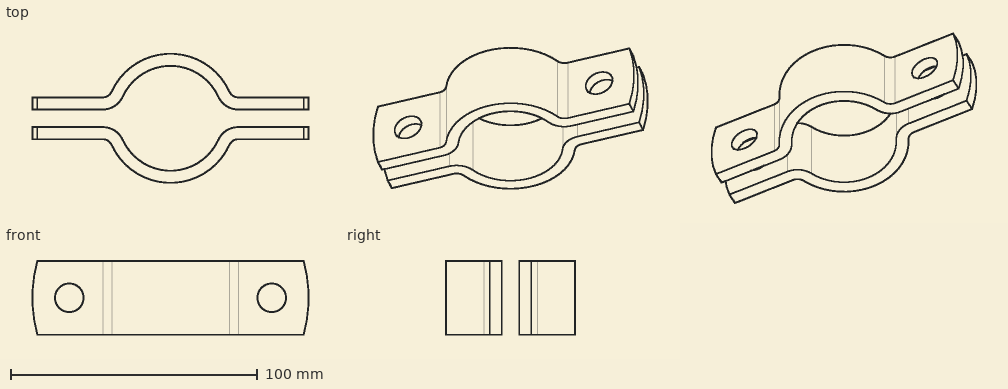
import cadquery as cq
import math

pipe_radius = 21.2
strap_thickness = 5.0
strap_width = 30.0
overall_length = 112.0
flange_gap = 7.0
outer_bend_radius = 4.0
bolt_hole_diameter = 11.5
bolt_hole_spacing = 82.0

bow_radius = pipe_radius + strap_thickness
inner_bend_radius = outer_bend_radius + strap_thickness
flange_inner_y = flange_gap / 2
flange_outer_y = flange_inner_y + strap_thickness
half_length = overall_length / 2
cutter_depth = -bow_radius

bend_y = flange_outer_y + outer_bend_radius
bend_x = math.sqrt((bow_radius + outer_bend_radius) ** 2 - bend_y ** 2)
bend_angle = math.atan2(bend_y, bend_x)
toward_axis = bend_angle + math.pi
toward_flange = 3 * math.pi / 2
bend_middle_angle = (toward_axis + toward_flange) / 2


def polar(radius, angle, center=(0, 0)):
    """Point at a distance and angle from a centre."""
    return (center[0] + radius * math.cos(angle), center[1] + radius * math.sin(angle))


def mirrored(point):
    """Same point on the -X side."""
    return (-point[0], point[1])


def make_strap_blank():
    """Bent strip on the +Y side, with square ends, centred on Z = 0."""
    bend_center = (bend_x, bend_y)
    outer_tangent = polar(bow_radius, bend_angle)
    inner_tangent = polar(pipe_radius, bend_angle)
    outer_bend_middle = polar(outer_bend_radius, bend_middle_angle, bend_center)
    inner_bend_middle = polar(inner_bend_radius, bend_middle_angle, bend_center)
    return (
        cq.Workplane("XY")
        .moveTo(half_length, flange_inner_y)
        .lineTo(half_length, flange_outer_y)
        .lineTo(bend_x, flange_outer_y)
        .threePointArc(outer_bend_middle, outer_tangent)
        .threePointArc((0, bow_radius), mirrored(outer_tangent))
        .threePointArc(mirrored(outer_bend_middle), (-bend_x, flange_outer_y))
        .lineTo(-half_length, flange_outer_y)
        .lineTo(-half_length, flange_inner_y)
        .lineTo(-bend_x, flange_inner_y)
        .threePointArc(mirrored(inner_bend_middle), mirrored(inner_tangent))
        .threePointArc((0, pipe_radius), inner_tangent)
        .threePointArc(inner_bend_middle, (bend_x, flange_inner_y))
        .close()
        .extrude(strap_width / 2, both=True)
    )


def make_end_trim():
    """Disc about the Y axis that rounds both flange ends."""
    return cq.Workplane("XZ").circle(half_length).extrude(cutter_depth)


def make_bolt_holes():
    """Cutters for the bolt holes, one through each flange of a clamp half."""
    return (
        cq.Workplane("XZ")
        .pushPoints([(-bolt_hole_spacing / 2, 0), (bolt_hole_spacing / 2, 0)])
        .circle(bolt_hole_diameter / 2)
        .extrude(cutter_depth)
    )


def make_clamp_half(turn):
    """One clamp half, turned about the pipe axis by an angle in degrees."""
    half = make_strap_blank().intersect(make_end_trim()).cut(make_bolt_holes())
    return half.rotate((0, 0, 0), (0, 0, 1), turn)


clamp_halves = [make_clamp_half(turn) for turn in (0, 180)]

result = cq.Compound.makeCompound([half.val() for half in clamp_halves])